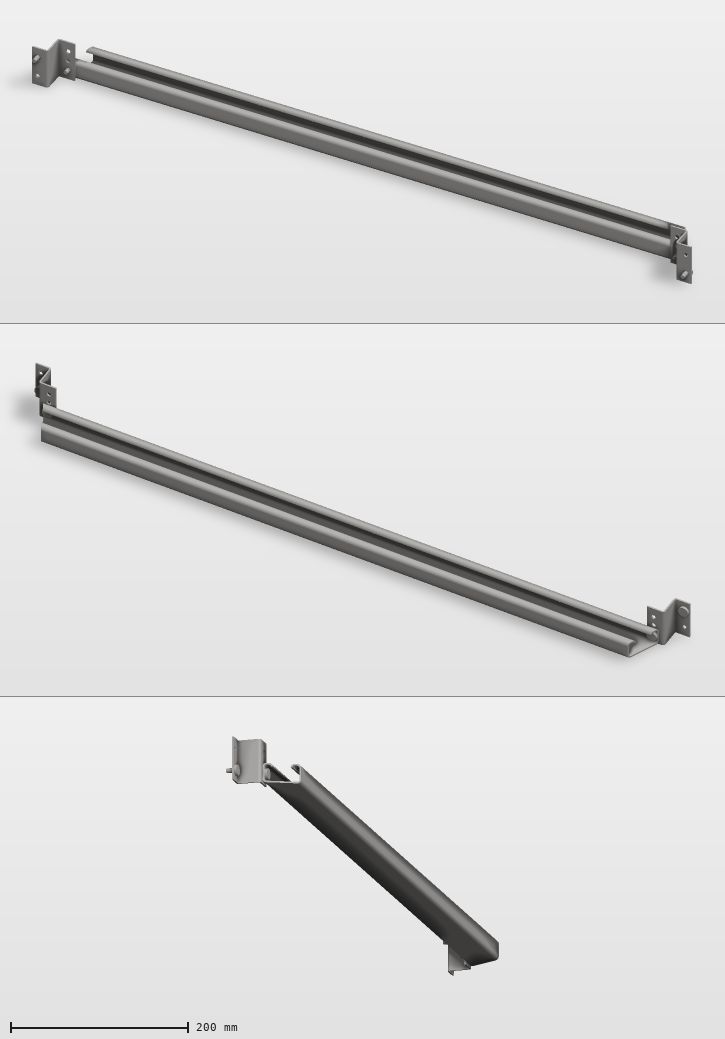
import cadquery as cq
import math


SHEET = 1.9

OVERALL_LENGTH = 839.0
BRACKET_HEIGHT = 50.0
FLANGE_GAP = 24.0
BRACKET_DEPTH = FLANGE_GAP + 2 * SHEET
BRACKET_BEND = 3.0
BRACKET_WIDTH = 40.0
WEB_OFFSET = 20.0
OUTER_HOLE_OFFSET = 7.0
INNER_HOLE_OFFSET = 32.0
HOLE_PITCH = 13.0
INNER_HOLE_COUNT = 3
OUTER_BOLT_HOLE_DIAMETER = 7.5
SPARE_HOLE_DIAMETER = 5.1

SHANK_DIAMETER = 5.45
THREAD_DIAMETER = 5.0
HEAD_DIAMETER = 13.0
HEAD_THICKNESS = 3.0
SHANK_LENGTH = 6.3
STICK_OUT = 8.2
BOLT_LENGTH = SHEET + STICK_OUT

CAVITY_DEPTH = 36.0
RAIL_DEPTH = CAVITY_DEPTH + 2 * SHEET
RAIL_HEIGHT = 23.0
RAIL_BEND = 4.0
LIP_WIDTH = 11.0
BACK_LENGTH = 753.0
END_ANGLE = 25.0

HALF_LENGTH = OVERALL_LENGTH / 2
LOW_HOLE_Z = HOLE_PITCH
HIGH_HOLE_Z = BRACKET_HEIGHT - HOLE_PITCH
OUTER_SEAT_Y = SHEET - BRACKET_DEPTH
INNER_SEAT_Y = SHEET


def cylinder_to_front(diameter, length, x, back_y, z):
    """Cylinder along Y that starts at back_y and runs towards -Y."""
    return cq.Workplane("XZ", origin=(x, back_y, z)).circle(diameter / 2).extrude(length)


def make_rail():
    """C-shaped channel with curled lips, slanted ends and a bolt hole near each end."""
    half_depth = RAIL_DEPTH / 2
    inner_bend = RAIL_BEND - SHEET
    bend = half_depth - RAIL_BEND
    high_bend = RAIL_HEIGHT - RAIL_BEND
    lip_edge = half_depth - LIP_WIDTH
    curl = lip_edge + RAIL_BEND
    front_length = BACK_LENGTH + 2 * RAIL_DEPTH * math.tan(math.radians(END_ANGLE))

    section_plane = cq.Plane(
        origin=(-front_length / 2, half_depth, LOW_HOLE_Z - RAIL_HEIGHT / 2),
        xDir=(0, 1, 0),
        normal=(1, 0, 0),
    )
    channel = (
        cq.Workplane(section_plane)
        .lineTo(bend, 0)
        .radiusArc((half_depth, RAIL_BEND), -RAIL_BEND)
        .lineTo(half_depth, high_bend)
        .radiusArc((bend, RAIL_HEIGHT), -RAIL_BEND)
        .lineTo(curl, RAIL_HEIGHT)
        .radiusArc((lip_edge, high_bend), -RAIL_BEND)
        .lineTo(lip_edge + SHEET, high_bend)
        .radiusArc((curl, RAIL_HEIGHT - SHEET), inner_bend)
        .lineTo(bend, RAIL_HEIGHT - SHEET)
        .radiusArc((half_depth - SHEET, high_bend), inner_bend)
        .lineTo(half_depth - SHEET, RAIL_BEND)
        .radiusArc((bend, SHEET), inner_bend)
        .lineTo(0, SHEET)
        .mirrorY()
        .extrude(front_length)
    )
    plan = (
        cq.Workplane("XY")
        .polyline([
            (-front_length / 2, 0),
            (front_length / 2, 0),
            (BACK_LENGTH / 2, RAIL_DEPTH),
            (-BACK_LENGTH / 2, RAIL_DEPTH),
        ])
        .close()
        .extrude(BRACKET_HEIGHT)
    )
    rail = channel.intersect(plan)
    for side in (-1, 1):
        hole_x = side * (HALF_LENGTH - INNER_HOLE_OFFSET)
        rail = rail.cut(cylinder_to_front(SHANK_DIAMETER, SHEET, hole_x, INNER_SEAT_Y, LOW_HOLE_Z))
    return rail


def make_left_bracket():
    """Z-shaped sheet: outer flange in front, web along Y, drilled inner flange on the rail."""
    free_end = -HALF_LENGTH
    web_right = free_end + WEB_OFFSET
    web_left = web_right - SHEET
    flange_end = free_end + BRACKET_WIDTH
    inner_bend = BRACKET_BEND - SHEET
    front = -BRACKET_DEPTH
    bracket = (
        cq.Workplane("XY")
        .moveTo(free_end, front)
        .lineTo(web_right - BRACKET_BEND, front)
        .radiusArc((web_right, front + BRACKET_BEND), -BRACKET_BEND)
        .lineTo(web_right, -BRACKET_BEND)
        .radiusArc((web_right + inner_bend, -SHEET), inner_bend)
        .lineTo(flange_end, -SHEET)
        .lineTo(flange_end, 0)
        .lineTo(web_left + BRACKET_BEND, 0)
        .radiusArc((web_left, -BRACKET_BEND), -BRACKET_BEND)
        .lineTo(web_left, front + BRACKET_BEND)
        .radiusArc((web_left - inner_bend, OUTER_SEAT_Y), inner_bend)
        .lineTo(free_end, OUTER_SEAT_Y)
        .close()
        .extrude(BRACKET_HEIGHT)
    )
    for i in range(INNER_HOLE_COUNT):
        hole_z = LOW_HOLE_Z + i * HOLE_PITCH
        bracket = bracket.cut(
            cylinder_to_front(SHANK_DIAMETER, SHEET, free_end + INNER_HOLE_OFFSET, 0, hole_z)
        )
    for diameter, hole_z in ((OUTER_BOLT_HOLE_DIAMETER, HIGH_HOLE_Z), (SPARE_HOLE_DIAMETER, LOW_HOLE_Z)):
        bracket = bracket.cut(
            cylinder_to_front(diameter, SHEET, free_end + OUTER_HOLE_OFFSET, OUTER_SEAT_Y, hole_z)
        )
    return bracket


def make_bolt(x, seat_y, z):
    """Round-headed bolt pointing to -Y, with the underside of its head at seat_y."""
    head = cylinder_to_front(HEAD_DIAMETER, HEAD_THICKNESS, x, seat_y + HEAD_THICKNESS, z)
    shank = cylinder_to_front(SHANK_DIAMETER, SHANK_LENGTH, x, seat_y, z)
    thread = cylinder_to_front(THREAD_DIAMETER, BOLT_LENGTH, x, seat_y, z)
    return head.union(shank).union(thread)


rail = make_rail()

left_bracket = make_left_bracket()
right_bracket = left_bracket.rotate((0, 0, BRACKET_HEIGHT / 2), (0, 1, BRACKET_HEIGHT / 2), 180)

bolts = []
for side, outer_z in ((-1, HIGH_HOLE_Z), (1, LOW_HOLE_Z)):
    bolts.append(make_bolt(side * (HALF_LENGTH - OUTER_HOLE_OFFSET), OUTER_SEAT_Y, outer_z))
    bolts.append(make_bolt(side * (HALF_LENGTH - INNER_HOLE_OFFSET), INNER_SEAT_Y, LOW_HOLE_Z))

result = cq.Compound.makeCompound(
    [rail.val(), left_bracket.val(), right_bracket.val()] + [bolt.val() for bolt in bolts]
)